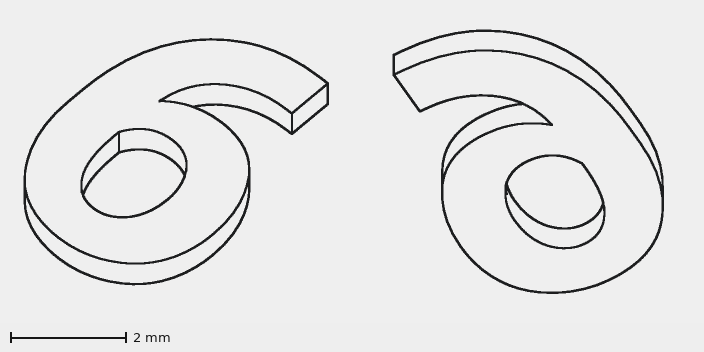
import cadquery as cq

width = 3.81
height = 5.66
thickness = 0.6

arm_end_x = 2.97
arm_underside_y = 4.755

bowl_top_y = 3.77
bowl_side_y = 1.915
hole_left = 1.09
hole_right = 2.715
hole_bottom = 0.885
hole_top = 2.9
hole_corner_y = 2.38

stem_top = (0, 2.61)
stem_bottom = (0, 2.235)
bowl_bottom = (1.94, 0)
bowl_right = (width, bowl_side_y)
bowl_top = (2.235, bowl_top_y)
crotch = (1.13, 3.35)

back_curves = [
    ((1.915, height), (1.3, 5.285)),
    ((0.675, 4.91), (0.335, 4.23)),
    ((0, 3.56), stem_top),
]
bowl_curves = [
    ((0, 1.275), (0.525, 0.61)),
    ((1.015, 0), bowl_bottom),
    ((2.46, 0), (2.915, 0.255)),
    ((3.34, 0.49), (3.565, 0.895)),
    ((width, 1.33), bowl_right),
    ((width, 2.695), (3.385, 3.255)),
    ((2.995, bowl_top_y), bowl_top),
    ((1.585, bowl_top_y), crotch),
]
arm_underside_curves = [
    ((1.205, 4.035), (1.725, 4.415)),
    ((2.19, arm_underside_y), (2.85, arm_underside_y)),
]
hole_curves = [
    ((1.345, hole_top), (1.895, hole_top)),
    ((2.25, hole_top), (2.48, 2.63)),
    ((hole_right, 2.32), (hole_right, bowl_side_y)),
    ((hole_right, 1.47), (2.5, 1.185)),
    ((2.26, hole_bottom), (1.915, hole_bottom)),
    ((1.54, hole_bottom), (1.315, 1.235)),
    ((hole_left, 1.575), (hole_left, 2.24)),
]


def add_curves(sketch, start, curves):
    """Continue the outline from start through a chain of quadratic curves."""
    for control, end in curves:
        sketch = sketch.bezier([start, control, end], includeCurrent=False)
        start = end
    return sketch


def make_body():
    """Solid numeral without the hole in its bowl."""
    back_start = (2.8, height)
    outline = cq.Workplane("XY").moveTo(arm_end_x, height).lineTo(*back_start)
    outline = add_curves(outline, back_start, back_curves)
    outline = outline.lineTo(*stem_bottom)
    outline = add_curves(outline, stem_bottom, bowl_curves)
    outline = add_curves(outline, crotch, arm_underside_curves)
    outline = outline.lineTo(arm_end_x, arm_underside_y)
    return outline.close().extrude(thickness)


def make_bowl_hole():
    """Through hole with a corner on its left side."""
    corner = (hole_left, hole_corner_y)
    outline = cq.Workplane("XY").moveTo(*corner)
    outline = add_curves(outline, corner, hole_curves)
    return outline.close().extrude(thickness)


result = make_body().cut(make_bowl_hole())